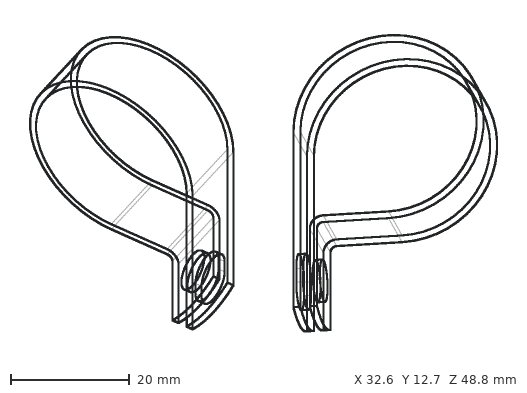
import cadquery as cq
import math

height = 48.75
width = 12.7
thickness = 1.2
loop_diameter = 32.6
tab_gap = 1.6
bend_inner_radius = 1.05
hole_diameter = 7.15
slot_length = 9.6
hole_height = 7.9
tab_end_drop = 1.25

loop_radius = loop_diameter / 2
inner_radius = loop_radius - thickness
bottom_z = loop_radius - height
corner_z = bottom_z + tab_end_drop
short_tab_outer_x = inner_radius - tab_gap
short_tab_inner_x = short_tab_outer_x - thickness
gap_middle_x = inner_radius - tab_gap / 2
bend_outer_radius = bend_inner_radius + thickness
bend_x = short_tab_outer_x - bend_outer_radius
bend_z = -inner_radius - bend_outer_radius
diagonal = math.sqrt(0.5)


def strap():
    """Bent strip: long tab, three-quarter loop, flat shelf, bend and short tab."""
    return (
        cq.Workplane("XZ")
        .moveTo(loop_radius, bottom_z)
        .lineTo(loop_radius, 0)
        .threePointArc((-loop_radius * diagonal, loop_radius * diagonal), (0, -loop_radius))
        .lineTo(bend_x, -loop_radius)
        .threePointArc(
            (bend_x + bend_inner_radius * diagonal, bend_z + bend_inner_radius * diagonal),
            (short_tab_inner_x, bend_z),
        )
        .lineTo(short_tab_inner_x, bottom_z)
        .lineTo(short_tab_outer_x, bottom_z)
        .lineTo(short_tab_outer_x, bend_z)
        .threePointArc(
            (bend_x + bend_outer_radius * diagonal, bend_z + bend_outer_radius * diagonal),
            (bend_x, -inner_radius),
        )
        .lineTo(0, -inner_radius)
        .threePointArc((-inner_radius * diagonal, inner_radius * diagonal), (inner_radius, 0))
        .lineTo(inner_radius, bottom_z)
        .close()
        .extrude(width / 2, both=True)
    )


def side_outline():
    """Strip outline in the YZ plane with the rounded tab end, as a solid across X."""
    return (
        cq.Workplane("YZ")
        .moveTo(-width / 2, loop_radius)
        .lineTo(-width / 2, corner_z)
        .threePointArc((0, bottom_z), (width / 2, corner_z))
        .lineTo(width / 2, loop_radius)
        .close()
        .extrude(loop_radius, both=True)
    )


def screw_hole():
    """Round hole along X through the short tab, ending inside the gap."""
    return (
        cq.Workplane("YZ")
        .center(0, bottom_z + hole_height)
        .circle(hole_diameter / 2)
        .extrude(gap_middle_x)
    )


def adjustment_slot():
    """Upright slot along X through the long tab, as wide as the round hole."""
    return (
        cq.Workplane("YZ", origin=(gap_middle_x, 0, 0))
        .center(0, bottom_z + hole_height)
        .slot2D(slot_length, hole_diameter, 90)
        .extrude(loop_radius - gap_middle_x)
    )


result = strap().intersect(side_outline()).cut(screw_hole()).cut(adjustment_slot())